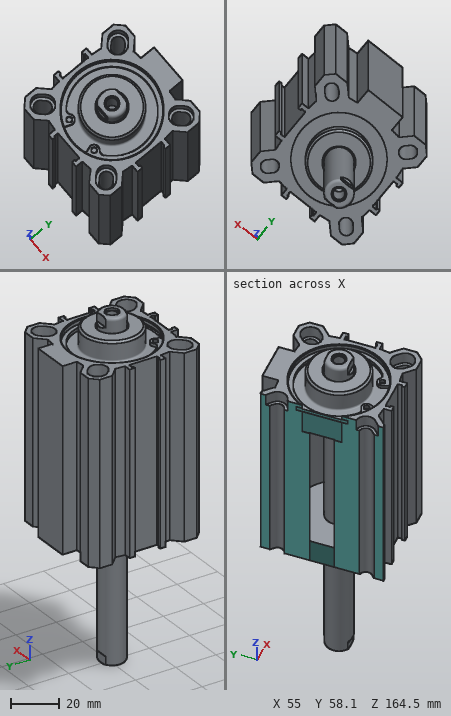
import cadquery as cq
import math


overall_length = 164.5
housing_length = 89.2
housing_width = 55.0
half_width = housing_width / 2
boss_height = 6.0
rod_top_reach = 6.5
rod_top_z = housing_length + boss_height + rod_top_reach
rod_bottom_z = rod_top_z - overall_length

outer_corner_cut = 3.5
ear_inner = 18.0
flank_drop = 4.5
wall = 23.5
wall_end = 23.0
wall_half_width = 8.9
port_half_width = 9.2
port_face = 30.6

rib_tip = 27.0
rib_outer = wall_half_width
rib_inner = 6.3
rib_neck = 6.9
rib_lip = 1.5

mount_offset = 20.4
mount_slot_stretch = 2.0
mount_diameter = 5.8
mount_counterbore = 8.5
mount_counterbore_depth = 5.6

bore_diameter = 40.0
seat_diameter = 42.3
mouth_diameter = 43.1
cover_thickness = 11.5
cover_recess = 3.6
boss_diameter = 28.0
boss_chamfer = 1.0
boss_root_fillet = 0.8
wiper_diameter = 13.7
wiper_mouth_diameter = 14.0
wiper_depth = 1.3

ring_outer_diameter = 44.7
ring_inner_diameter = 38.2
ring_thickness = 1.5
ring_turn = -1.7
lug_angle = 27.3
lug_centre_radius = 18.1
lug_radius = 2.3
lug_fillet = 2.5
lug_hole_diameter = 2.5
lug_half_angle = math.asin(lug_radius / lug_centre_radius)
ring_bottom = housing_length - cover_recess

rod_diameter = 12.5
rod_radius = rod_diameter / 2
rod_end_fillet = 1.3
flat_spacing = 10.5
flat_length = 4.5
thread_diameter = 5.0
thread_mouth_diameter = 6.3
thread_mouth_depth = 1.0
thread_depth = 14.8
drill_tip_depth = 1.0


def cylinder(diameter, bottom, height):
    return cq.Workplane("XY").workplane(offset=bottom).circle(diameter / 2).extrude(height)


def cone(bottom_diameter, top_diameter, bottom, height):
    solid = cq.Solid.makeCone(bottom_diameter / 2, top_diameter / 2, height, cq.Vector(0, 0, bottom))
    return cq.Workplane(obj=solid)


def housing_side(angle):
    """Outline points of one side, ear to ear, drawn for the +Y side and turned by angle."""
    half = [
        (wall_half_width, wall),
        (ear_inner - flank_drop, wall_end),
        (ear_inner, half_width),
        (half_width - outer_corner_cut, half_width),
    ]
    side = [(-x, y) for x, y in reversed(half)] + half
    turn = math.radians(angle)
    return [
        (x * math.cos(turn) - y * math.sin(turn), x * math.sin(turn) + y * math.cos(turn))
        for x, y in side
    ]


def slot_ribs():
    """A pair of hooked ribs on the +Y side, facing each other across a T-slot."""
    hook = [
        (rib_outer, wall_end),
        (rib_outer, rib_tip),
        (rib_inner, rib_tip),
        (rib_inner, rib_tip - rib_lip),
        (rib_neck, rib_tip - rib_lip),
        (rib_neck, wall_end),
    ]
    rib = cq.Workplane("XY").polyline(hook).close().extrude(housing_length)
    return rib.union(rib.mirror("YZ"))


def mount_slots(diameter, bottom, height):
    slots = cq.Workplane("XY")
    for x_sign, y_sign in [(1, 1), (-1, 1), (-1, -1), (1, -1)]:
        slot = (
            cq.Workplane("XY")
            .workplane(offset=bottom)
            .center(x_sign * mount_offset, y_sign * mount_offset)
            .slot2D(diameter + mount_slot_stretch, diameter, 45 * x_sign * y_sign)
            .extrude(height)
        )
        slots = slots.add(slot)
    return slots.combine()


def make_housing():
    outline = []
    for angle in (0, -90, -180, -270):
        outline += housing_side(angle)
    body = cq.Workplane("XY").polyline(outline).close().extrude(housing_length)
    for angle in (90, 180, 270):
        body = body.union(slot_ribs().rotate((0, 0, 0), (0, 0, 1), angle))

    port_depth = port_face - wall_end
    port_block = cq.Workplane("XY").box(
        2 * port_half_width, port_depth, housing_length, centered=(True, False, False)
    )
    body = body.union(port_block.translate((0, port_face - port_depth, 0)))

    body = body.cut(mount_slots(mount_diameter, 0, housing_length))
    body = body.cut(
        mount_slots(mount_counterbore, housing_length - mount_counterbore_depth, mount_counterbore_depth)
    )

    seat_depth = cover_recess + cover_thickness
    mouth_depth = (mouth_diameter - seat_diameter) / 2
    body = body.cut(cylinder(bore_diameter, 0, housing_length))
    body = body.cut(cylinder(seat_diameter, housing_length - seat_depth, seat_depth))
    body = body.cut(cone(seat_diameter, mouth_diameter, housing_length - mouth_depth, mouth_depth))
    return body.cut(cylinder(ring_outer_diameter, ring_bottom, ring_thickness))


def make_cover(disc_diameter, face_depth):
    """Cover facing +Z with its boss top at Z = boss_height; its face lies face_depth below Z = 0."""
    disc_bottom = -face_depth - cover_thickness
    disc = cylinder(disc_diameter, disc_bottom, cover_thickness)
    boss = cylinder(boss_diameter, -face_depth, face_depth + boss_height)
    cover = disc.union(boss.faces(">Z").edges().chamfer(boss_chamfer))
    if face_depth > 0:
        face_circles = cover.edges("%CIRCLE").edges(cq.selectors.BoxSelector(
            (-boss_diameter, -boss_diameter, -face_depth - boss_root_fillet),
            (boss_diameter, boss_diameter, -face_depth + boss_root_fillet),
        ))
        cover = face_circles.edges(cq.selectors.RadiusNthSelector(0)).fillet(boss_root_fillet)
    cover = cover.cut(cylinder(rod_diameter, disc_bottom, boss_height - disc_bottom))
    cover = cover.cut(cylinder(wiper_diameter, boss_height - wiper_depth, wiper_depth))
    mouth_depth = (wiper_mouth_diameter - wiper_diameter) / 2
    return cover.cut(cone(wiper_diameter, wiper_mouth_diameter, boss_height - mouth_depth, mouth_depth))


def make_lug(side):
    """Undrilled lug on the side (-1 or 1) of the gap in X, filled out to the radial edge of the gap."""
    tangent_radius = lug_centre_radius * math.cos(lug_half_angle)
    root_radius = (ring_inner_diameter + ring_outer_diameter) / 4
    edge_x = -side * math.sin(lug_half_angle)
    edge_y = -math.cos(lug_half_angle)
    filler = (
        cq.Workplane("XY")
        .workplane(offset=ring_bottom)
        .polyline([
            (0, -lug_centre_radius),
            (tangent_radius * edge_x, tangent_radius * edge_y),
            (root_radius * edge_x, root_radius * edge_y),
            (0, -root_radius),
        ])
        .close()
        .extrude(ring_thickness)
    )
    disc = cylinder(2 * lug_radius, ring_bottom, ring_thickness).translate((0, -lug_centre_radius, 0))
    return disc.union(filler).rotate((0, 0, 0), (0, 0, 1), side * lug_angle)


def make_ring():
    """Open ring whose gap faces -Y, with a drilled lug at each end of the gap."""
    ring = cylinder(ring_outer_diameter, ring_bottom, ring_thickness)
    ring = ring.cut(cylinder(ring_inner_diameter, ring_bottom, ring_thickness))
    gap_x = ring_outer_diameter * math.tan(math.radians(lug_angle) - lug_half_angle)
    gap = (
        cq.Workplane("XY")
        .workplane(offset=ring_bottom)
        .polyline([(0, 0), (-gap_x, -ring_outer_diameter), (gap_x, -ring_outer_diameter)])
        .close()
        .extrude(ring_thickness)
    )
    ring = ring.cut(gap)
    for side in (-1, 1):
        ring = ring.union(make_lug(side))

    lug_x = lug_centre_radius * math.sin(math.radians(lug_angle))
    lug_y = -lug_centre_radius * math.cos(math.radians(lug_angle))
    around_lugs = cq.selectors.BoxSelector(
        (-lug_x - 2 * lug_radius, lug_y - 2 * lug_radius, ring_bottom),
        (lug_x + 2 * lug_radius, lug_y + 2 * lug_radius, ring_bottom + ring_thickness),
    )
    ring = ring.edges("|Z").edges(around_lugs).edges("<X or >X").fillet(lug_fillet)
    for x in (-lug_x, lug_x):
        ring = ring.cut(cylinder(lug_hole_diameter, ring_bottom, ring_thickness).translate((x, lug_y, 0)))
    return ring.rotate((0, 0, 0), (0, 0, 1), ring_turn)


def rod_end_cuts():
    """Wrench flats and tapped hole of a rod end whose end face is at Z = 0, rod below."""
    half_flat = flat_spacing / 2
    run_out = rod_radius - half_flat
    flat = (
        cq.Workplane("YZ")
        .polyline([
            (half_flat, 0),
            (half_flat, -flat_length),
            (rod_radius, -flat_length - run_out),
            (rod_radius, 0),
        ])
        .close()
        .extrude(rod_radius, both=True)
    )
    hole = cylinder(thread_diameter, -thread_depth, thread_depth)
    hole = hole.union(cylinder(thread_mouth_diameter, -thread_mouth_depth, thread_mouth_depth))
    hole = hole.union(cone(0, thread_diameter, -thread_depth - drill_tip_depth, drill_tip_depth))
    return [flat, flat.mirror("XZ"), hole]


def make_rod():
    rod = cylinder(rod_diameter, rod_bottom_z, overall_length).edges("%CIRCLE").fillet(rod_end_fillet)
    for cut in rod_end_cuts():
        rod = rod.cut(cut.translate((0, 0, rod_top_z)))
        rod = rod.cut(cut.mirror("XY").translate((0, 0, rod_bottom_z)))
    return rod


housing = make_housing()
top_cover = make_cover(seat_diameter, cover_recess).translate((0, 0, housing_length))
bottom_cover = make_cover(bore_diameter, 0).mirror("XY")
retaining_ring = make_ring()
rod = make_rod()

result = cq.Compound.makeCompound(
    [housing.val(), top_cover.val(), bottom_cover.val(), retaining_ring.val(), rod.val()]
)